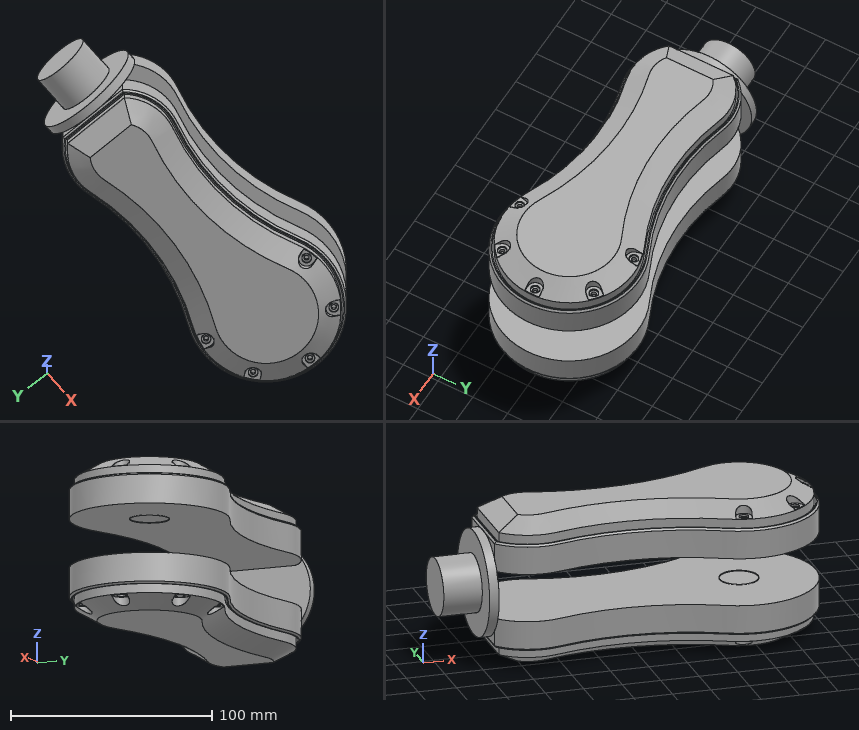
import cadquery as cq
import math

overall_length = 198.0
half_height = 39.0

stem_diameter = 30.0
stem_length = 20.0
flange_diameter = 55.0
flange_thickness = 5.0

head_radius = 40.0
tail_radius = 30.0
neck_radius = 120.0
tail_flat_x = stem_length + flange_thickness
head_center_x = overall_length - head_radius
tail_center_x = 48.0

plate_inner_z = 12.5
rim_z = 28.1
rim_chamfer = 1.0
lid_shoulder_z = 32.5

lid_inset = 2.5
lid_slope_angle = 30.0
lid_slope_run = (half_height - lid_shoulder_z) / math.tan(math.radians(lid_slope_angle))

screw_circle_radius = 33.7
screw_pitch_angle = 360.0 / 7
screw_steps = (-2, -1, 0, 1, 2)
pocket_width = 8.1
pocket_floor_rise = 0.2
pocket_floor_z = lid_shoulder_z + pocket_floor_rise
screw_hole_diameter = 4.8
screw_hole_depth = 1.0
socket_diameter = 2.5
socket_depth = 2.0

recess_diameter = 19.8
recess_depth = 0.4


def grip_outline(z, inset):
    """Closed grip outline at height z, moved inwards by inset."""
    head = head_radius - inset
    tail = tail_radius - inset
    neck = neck_radius + inset
    flat_x = tail_flat_x + inset
    flat_half = math.sqrt(tail**2 - (tail_center_x - flat_x) ** 2)

    span = head_center_x - tail_center_x
    tail_side = neck + tail
    head_side = neck + head
    neck_dx = (tail_side**2 + span**2 - head_side**2) / (2 * span)
    neck_x = tail_center_x + neck_dx
    neck_y = math.sqrt(tail_side**2 - neck_dx**2)

    tail_joint_x = tail_center_x + neck_dx * tail / tail_side
    tail_joint_y = neck_y * tail / tail_side
    head_joint_x = head_center_x - (head_center_x - neck_x) * head / head_side
    head_joint_y = neck_y * head / head_side

    return (
        cq.Workplane("XY", origin=(0, 0, z))
        .moveTo(flat_x, -flat_half)
        .threePointArc((tail_center_x, -tail), (tail_joint_x, -tail_joint_y))
        .threePointArc((neck_x, neck - neck_y), (head_joint_x, -head_joint_y))
        .threePointArc((head_center_x + head, 0), (head_joint_x, head_joint_y))
        .threePointArc((neck_x, neck_y - neck), (tail_joint_x, tail_joint_y))
        .threePointArc((tail_center_x, tail), (flat_x, flat_half))
        .close()
    )


def straight_layer(z_low, z_high, inset):
    """Grip outline extruded between two heights."""
    return grip_outline(z_low, inset).extrude(z_high - z_low)


def sloped_layer(z_low, z_high, inset_low, inset_high):
    """Grip outline whose inset changes evenly between two heights."""
    low = grip_outline(z_low, inset_low).val()
    high = grip_outline(z_high, inset_high).val()
    return cq.Workplane("XY").add(cq.Solid.makeLoft([low, high], True))


def disc(x, z_low, z_high, diameter):
    """Upright disc centred on the XZ plane."""
    return cq.Workplane("XY", origin=(x, 0, z_low)).circle(diameter / 2).extrude(z_high - z_low)


def screw_pocket(angle):
    """Pocket open towards the rim, with a stepped screw hole in its floor."""
    screw_x = head_center_x + screw_circle_radius
    hole_floor_z = pocket_floor_z - screw_hole_depth
    opening = (
        cq.Workplane("XY", origin=(screw_x, 0, pocket_floor_z))
        .rect(pocket_width, pocket_width, centered=(False, True))
        .extrude(half_height - pocket_floor_z)
    )
    pocket = (
        disc(screw_x, pocket_floor_z, half_height, pocket_width)
        .union(opening)
        .union(disc(screw_x, hole_floor_z, pocket_floor_z, screw_hole_diameter))
        .union(disc(screw_x, hole_floor_z - socket_depth, hole_floor_z, socket_diameter))
    )
    return pocket.rotate((head_center_x, 0, 0), (head_center_x, 0, 1), angle)


def upper_grip():
    """Upper grip: a plate with a chamfered rim, and a lid with sloped sides set inside the rim."""
    rim_base_z = rim_z - rim_chamfer
    plate = straight_layer(plate_inner_z, rim_base_z, 0)
    rim = sloped_layer(rim_base_z, rim_z, 0, rim_chamfer)
    rim = rim.cut(sloped_layer(rim_base_z, rim_z, lid_inset, lid_inset - rim_chamfer))
    lid = straight_layer(rim_base_z, lid_shoulder_z, lid_inset)
    lid = lid.union(sloped_layer(lid_shoulder_z, half_height, lid_inset, lid_inset + lid_slope_run))

    grip = plate.union(rim).union(lid)
    for step in screw_steps:
        grip = grip.cut(screw_pocket(step * screw_pitch_angle))
    return grip.cut(disc(head_center_x, plate_inner_z, plate_inner_z + recess_depth, recess_diameter))


def stem():
    """Shaft and the flange that joins the two grips."""
    shaft = cq.Workplane("YZ").circle(stem_diameter / 2).extrude(stem_length)
    flange = cq.Workplane("YZ", origin=(stem_length, 0, 0)).circle(flange_diameter / 2)
    return shaft.union(flange.extrude(flange_thickness))


grip = upper_grip()
result = stem().union(grip).union(grip.mirror("XY"))